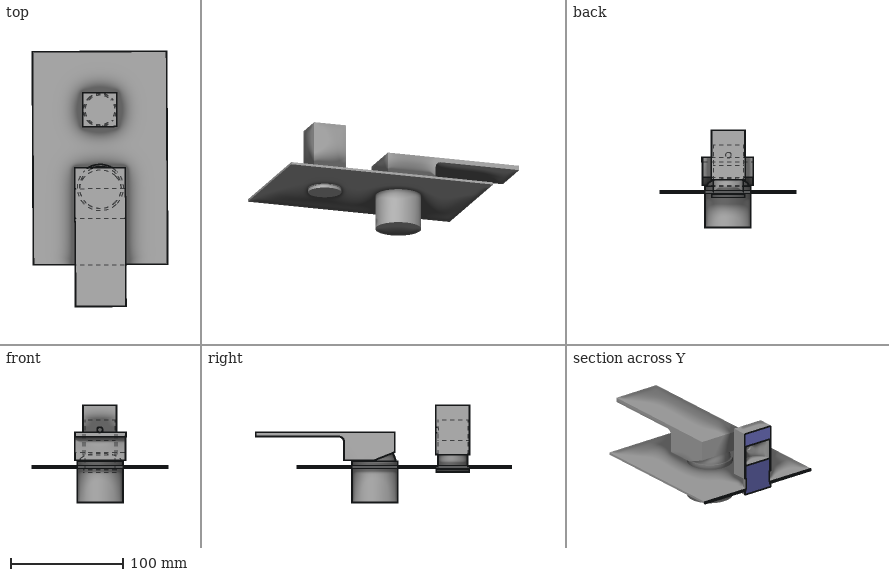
import cadquery as cq


PART_TURN = 0.28

PLATE_WIDTH = 120.0
PLATE_LENGTH = 190.2
PLATE_THICKNESS = 2.0
PLATE_BACK_Y = 121.3

SLEEVE_RADIUS = 20.5
SLEEVE_TOP_Z = 4.0
SLEEVE_BOTTOM_Z = -32.8
BALL_RADIUS = 19.0
BALL_CENTRE_DROP = 3.2

HANDLE_WIDTH = 45.2
HANDLE_BACK_Y = 17.5
HANDLE_FRONT_Y = -106.3
HANDLE_TOP_Z = 30.0
BLADE_THICKNESS = 4.0
HUB_FRONT_Y = -27.5
HUB_BOTTOM_Z = 4.8
BEVEL_FRONT_Y = -1.0
BEVEL_BACK_Z = 12.0
BLADE_FILLET = 4.8

KNOB_Y = 69.3
KNOB_SIDE = 30.0
KNOB_TOP_Z = 54.0
KNOB_BOTTOM_Z = 10.0
SOCKET_TOP_Z = 41.0
SCREW_HOLE_RADIUS = 2.5
STEM_RADIUS = 13.2
STEM_TOP_Z = 22.8
FLANGE_RADIUS = 14.8
FLANGE_BOTTOM_Z = -5.7
GROOVE_TOP_Z = -2.7
GROOVE_BOTTOM_Z = -3.5
GROOVE_DEPTH = 0.5


def cylinder(radius, bottom_z, top_z, y=0):
    """Upright cylinder on the part's centre plane."""
    return cq.Workplane("XY", origin=(0, y, bottom_z)).circle(radius).extrude(top_z - bottom_z)


def make_plate():
    """Thin rectangular plate with holes for the sleeve and the stem."""
    plate = cq.Workplane("XY", origin=(0, PLATE_BACK_Y - PLATE_LENGTH / 2, -PLATE_THICKNESS)).rect(
        PLATE_WIDTH, PLATE_LENGTH
    ).extrude(PLATE_THICKNESS)
    sleeve_hole = cylinder(SLEEVE_RADIUS, -PLATE_THICKNESS, 0)
    stem_hole = cylinder(STEM_RADIUS, -PLATE_THICKNESS, 0, KNOB_Y)
    return plate.cut(sleeve_hole).cut(stem_hole)


def make_sleeve():
    """Round sleeve passing through the plate."""
    return cylinder(SLEEVE_RADIUS, SLEEVE_BOTTOM_Z, SLEEVE_TOP_Z)


def make_handle():
    """Hub with a bevelled back underside and a flat blade reaching forward."""
    blade_bottom_z = HANDLE_TOP_Z - BLADE_THICKNESS
    profile = [
        (HANDLE_BACK_Y, HANDLE_TOP_Z),
        (HANDLE_FRONT_Y, HANDLE_TOP_Z),
        (HANDLE_FRONT_Y, blade_bottom_z),
        (HUB_FRONT_Y, blade_bottom_z),
        (HUB_FRONT_Y, HUB_BOTTOM_Z),
        (BEVEL_FRONT_Y, HUB_BOTTOM_Z),
        (HANDLE_BACK_Y, BEVEL_BACK_Z),
    ]
    handle = cq.Workplane("YZ").polyline(profile).close().extrude(HANDLE_WIDTH / 2, both=True)
    inner_corner = cq.selectors.NearestToPointSelector((0, HUB_FRONT_Y, blade_bottom_z))
    return handle.edges(inner_corner).fillet(BLADE_FILLET)


def make_dome(handle):
    """Part of a ball above the sleeve, trimmed to the underside of the handle."""
    ball = cq.Workplane("XY", origin=(0, 0, SLEEVE_TOP_Z - BALL_CENTRE_DROP)).sphere(BALL_RADIUS)
    space_above_sleeve = cylinder(SLEEVE_RADIUS, SLEEVE_TOP_Z, HANDLE_TOP_Z)
    return ball.intersect(space_above_sleeve).cut(handle)


def make_knob():
    """Square knob with a round socket below and a screw hole from the front into the socket."""
    height = KNOB_TOP_Z - KNOB_BOTTOM_Z
    knob = cq.Workplane("XY", origin=(0, KNOB_Y, KNOB_BOTTOM_Z)).rect(KNOB_SIDE, KNOB_SIDE).extrude(height)
    socket = cylinder(STEM_RADIUS, KNOB_BOTTOM_Z, SOCKET_TOP_Z, KNOB_Y)
    front_centre = (0, KNOB_Y - KNOB_SIDE / 2, KNOB_BOTTOM_Z + height / 2)
    screw_hole = cq.Workplane("XZ", origin=front_centre).circle(SCREW_HOLE_RADIUS).extrude(-KNOB_SIDE / 2)
    return knob.cut(socket).cut(screw_hole)


def make_stem():
    """Round stem reaching into the knob's socket, with a grooved flange under the plate."""
    stem = cylinder(STEM_RADIUS, FLANGE_BOTTOM_Z, STEM_TOP_Z, KNOB_Y)
    flange = cylinder(FLANGE_RADIUS, FLANGE_BOTTOM_Z, -PLATE_THICKNESS, KNOB_Y)
    groove = cylinder(FLANGE_RADIUS, GROOVE_BOTTOM_Z, GROOVE_TOP_Z, KNOB_Y).cut(
        cylinder(FLANGE_RADIUS - GROOVE_DEPTH, GROOVE_BOTTOM_Z, GROOVE_TOP_Z, KNOB_Y)
    )
    return stem.union(flange.cut(groove))


plate = make_plate()
sleeve = make_sleeve()
handle = make_handle()
dome = make_dome(handle)
knob = make_knob()
stem = make_stem()

bodies = [plate, sleeve, handle, dome, knob, stem]
result = cq.Compound.makeCompound(
    [body.solids().val().rotate(cq.Vector(0, 0, 0), cq.Vector(0, 0, 1), PART_TURN) for body in bodies]
)